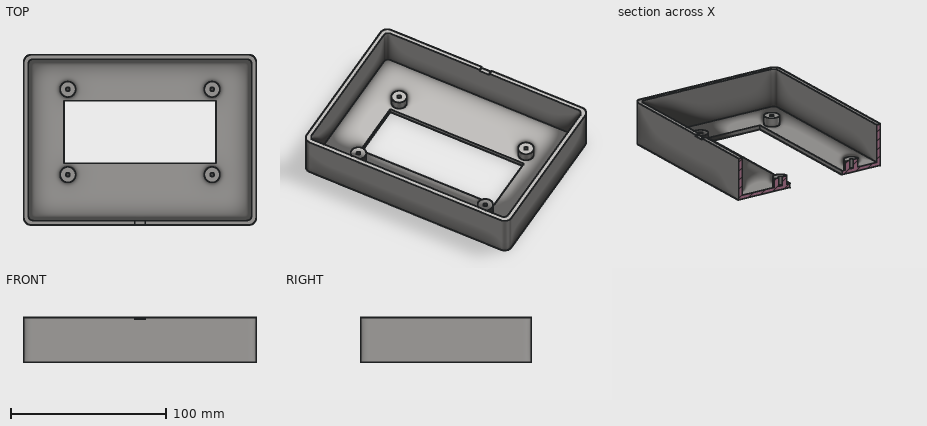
import cadquery as cq

length = 150.0
width = 110.0
height = 29.0
wall = 3.0
floor = 3.0
outer_radius = 5.0
inner_radius = 3.0

display_y = 5.1
window_length = 98.0
window_width = 40.0
boss_spacing_x = 93.0
boss_spacing_y = 55.0
boss_diameter = 10.0
boss_height = 6.0
screw_diameter = 2.5

notch_length = 7.0
notch_depth = 1.0


def rounded_block(size_x, size_y, size_z, radius, base_z):
    block = cq.Workplane("XY").workplane(offset=base_z).rect(size_x, size_y).extrude(size_z)
    return block.edges("|Z").fillet(radius)


def boss_cylinders(diameter):
    """Four cylinders standing on the floor at the mounting positions."""
    return (
        cq.Workplane("XY", origin=(0, display_y, floor))
        .rect(boss_spacing_x, boss_spacing_y, forConstruction=True)
        .vertices()
        .circle(diameter / 2)
        .extrude(boss_height)
    )


tray = rounded_block(length, width, height, outer_radius, 0)
cavity = rounded_block(length - 2 * wall, width - 2 * wall, height - floor, inner_radius, floor)
tray = tray.cut(cavity)

window = cq.Workplane("XY", origin=(0, display_y, 0)).rect(window_length, window_width).extrude(floor)
tray = tray.cut(window)

tray = tray.union(boss_cylinders(boss_diameter)).cut(boss_cylinders(screw_diameter))

notch = (
    cq.Workplane("XY", origin=(0, (wall - width) / 2, height - notch_depth))
    .rect(notch_length, wall)
    .extrude(notch_depth)
)
result = tray.cut(notch)